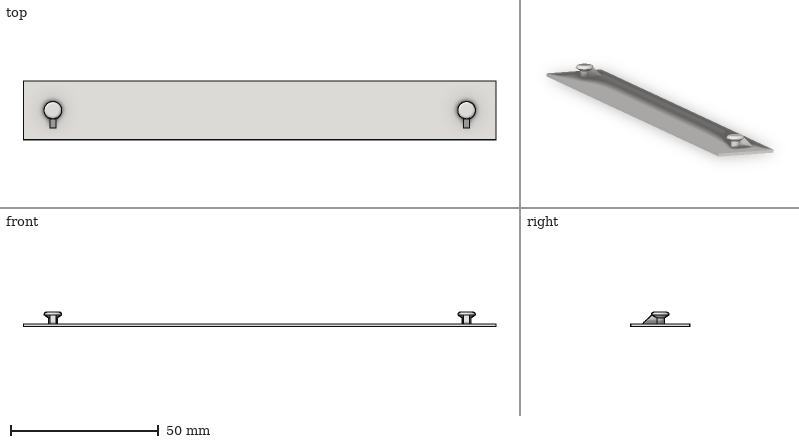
import cadquery as cq
import math

plate_length = 160.0
plate_width = 20.0
plate_thickness = 1.0

total_height = 5.0
stud_end_distance = 10.0
stem_radius = 1.5
head_radius = 3.0
head_edge_radius = 1.0
head_cone_height = 1.0

rib_thickness = 2.0
rib_reach = 6.0
rib_rim_gap = 0.1

rim_height = total_height - head_edge_radius
head_bottom = rim_height - head_cone_height
rib_top = rim_height - rib_rim_gap
stud_x = plate_length / 2 - stud_end_distance


def make_plate():
    return cq.Workplane("XY").box(
        plate_length, plate_width, plate_thickness, centered=(True, True, False)
    )


def make_stud():
    """Stem with a flat-topped head rounded above the rim and conical below it, centred on the Z axis."""
    flat_radius = head_radius - head_edge_radius
    arc_offset = head_edge_radius / math.sqrt(2)
    return (
        cq.Workplane("XZ")
        .lineTo(stem_radius, 0)
        .lineTo(stem_radius, head_bottom)
        .lineTo(head_radius, rim_height)
        .threePointArc((flat_radius + arc_offset, rim_height + arc_offset), (flat_radius, total_height))
        .lineTo(0, total_height)
        .close()
        .revolve(360, (0, 0, 0), (0, 1, 0))
    )


def make_rib():
    """Brace from the stud axis out to the plate surface, centred on X = 0."""
    return (
        cq.Workplane("YZ")
        .lineTo(-rib_reach, 0)
        .lineTo(-rib_reach, plate_thickness)
        .lineTo(-head_radius, rib_top)
        .lineTo(0, rib_top)
        .close()
        .extrude(rib_thickness / 2, both=True)
    )


result = make_plate()
braced_stud = make_stud().union(make_rib())
for x in (-stud_x, stud_x):
    result = result.union(braced_stud.translate((x, 0, 0)))